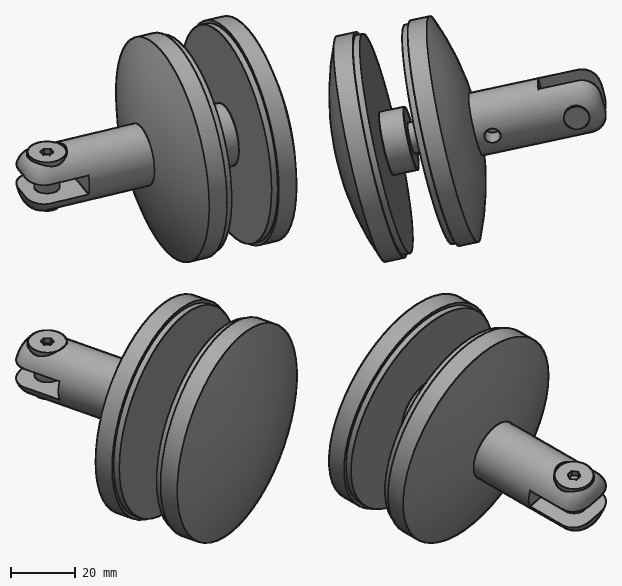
import cadquery as cq
import math

total_length = 85.3

cap_diameter = 72.0
rim_thickness = 6.05
dome_height = 7.7
gasket_diameter = 70.0
gasket_thickness = 2.05
back_rim_start = total_length - dome_height - rim_thickness
back_gasket_start = back_rim_start - gasket_thickness
glass_gap = 13.6
front_gasket_end = back_gasket_start - glass_gap
front_rim_end = front_gasket_end - gasket_thickness
front_rim_start = front_rim_end - rim_thickness

spacer_diameter = 20.2
spacer_length = 8.0
spacer_chamfer = 0.2
stud_diameter = 10.0

rod_diameter = 20.0
rod_radius = rod_diameter / 2
rod_tip_radius = 6.0
slot_width = 7.0
slot_depth = 18.6
set_screw_hole_diameter = 5.0
set_screw_hole_y = 35.5
set_screw_hole_depth = 6.8

screw_y = 8.5
shank_diameter = 8.0
head_diameter = 12.0
head_recess_diameter = 12.5
head_top = 9.4
head_thickness = 3.0
head_seat = head_top - head_thickness
shank_end = -rod_radius
hex_across_flats = 3.5
hex_depth = 2.0

cap_radius = cap_diameter / 2
dome_radius = (cap_radius**2 + dome_height**2) / (2 * dome_height)
dome_drop_at_rod = dome_radius - math.sqrt(dome_radius**2 - rod_radius**2)
rod_length = front_rim_start - dome_height + dome_drop_at_rod


def cylinder_y(diameter, start, end):
    """Cylinder on the Y axis between two Y positions."""
    plane = cq.Workplane("XZ", origin=(0, start, 0))
    return plane.circle(diameter / 2).extrude(start - end)


def cylinder_z(diameter, bottom, top, y=screw_y):
    """Cylinder along Z between two Z positions, on the fork screw axis unless y is given."""
    plane = cq.Workplane("XY", origin=(0, y, bottom))
    return plane.circle(diameter / 2).extrude(top - bottom)


def make_cap(inner_face, outward):
    """Domed disc; outward is +1 or -1, the Y direction in which its dome points."""
    rim_edge = inner_face + outward * rim_thickness
    apex = rim_edge + outward * dome_height
    dome_center = apex - outward * dome_radius
    half_angle = math.asin(cap_radius / dome_radius) / 2
    arc_middle = (
        dome_radius * math.sin(half_angle),
        dome_center + outward * dome_radius * math.cos(half_angle),
    )
    profile = (
        cq.Workplane("XY")
        .moveTo(0, inner_face)
        .lineTo(cap_radius, inner_face)
        .lineTo(cap_radius, rim_edge)
        .threePointArc(arc_middle, (0, apex))
        .close()
    )
    return profile.revolve(360, (0, 0, 0), (0, 1, 0))


def make_gasket(start):
    """Flat ring fitting around the stud."""
    end = start + gasket_thickness
    return cylinder_y(gasket_diameter, start, end).cut(cylinder_y(stud_diameter, start, end))


def make_stud():
    """Plain stud from the rod to the inner face of the back cap."""
    return cylinder_y(stud_diameter, rod_length, back_rim_start)


def make_front_cap():
    """Domed disc with a hole for the stud and a flat seat for the rod."""
    cap = make_cap(front_rim_end, -1)
    rod_seat = cylinder_y(rod_diameter, 0, rod_length)
    stud_hole = cylinder_y(stud_diameter, rod_length, front_rim_end)
    return cap.cut(rod_seat).cut(stud_hole)


def make_spacer():
    """Chamfered sleeve around the stud, against the back gasket."""
    start = back_gasket_start - spacer_length
    sleeve = cylinder_y(spacer_diameter, start, back_gasket_start).edges().chamfer(spacer_chamfer)
    return sleeve.cut(cylinder_y(stud_diameter, start, back_gasket_start))


def make_rod():
    """Rod with a rounded tip, a fork slot across X, a seat for the screw and a set-screw hole below."""
    rod = cylinder_y(rod_diameter, 0, rod_length).faces("<Y").edges().fillet(rod_tip_radius)
    slot = cq.Workplane("XY").box(rod_diameter, 2 * slot_depth, slot_width)
    head_recess = cylinder_z(head_recess_diameter, head_seat, rod_radius)
    shank_hole = cylinder_z(shank_diameter, shank_end, head_seat)
    set_screw_hole = cylinder_z(
        set_screw_hole_diameter,
        -rod_radius,
        set_screw_hole_depth - rod_radius,
        set_screw_hole_y,
    )
    return rod.cut(slot).cut(head_recess).cut(shank_hole).cut(set_screw_hole)


def make_screw():
    """Flat-headed screw with a hexagon socket, two corners of it along X."""
    head = cylinder_z(head_diameter, head_seat, head_top)
    shank = cylinder_z(shank_diameter, shank_end, head_seat)
    hex_across_corners = hex_across_flats / math.cos(math.pi / 6)
    socket = (
        cq.Workplane("XY", origin=(0, screw_y, head_top))
        .polygon(6, hex_across_corners)
        .extrude(-hex_depth)
    )
    return head.union(shank).cut(socket)


back_cap = make_cap(back_rim_start, 1)
front_cap = make_front_cap()
gaskets = [make_gasket(start) for start in (back_gasket_start, front_rim_end)]
spacer = make_spacer()
stud = make_stud()
rod = make_rod()
screw = make_screw()

result = cq.Compound.makeCompound(
    [
        back_cap.val(),
        front_cap.val(),
        *[gasket.val() for gasket in gaskets],
        spacer.val(),
        stud.val(),
        rod.val(),
        screw.val(),
    ]
)